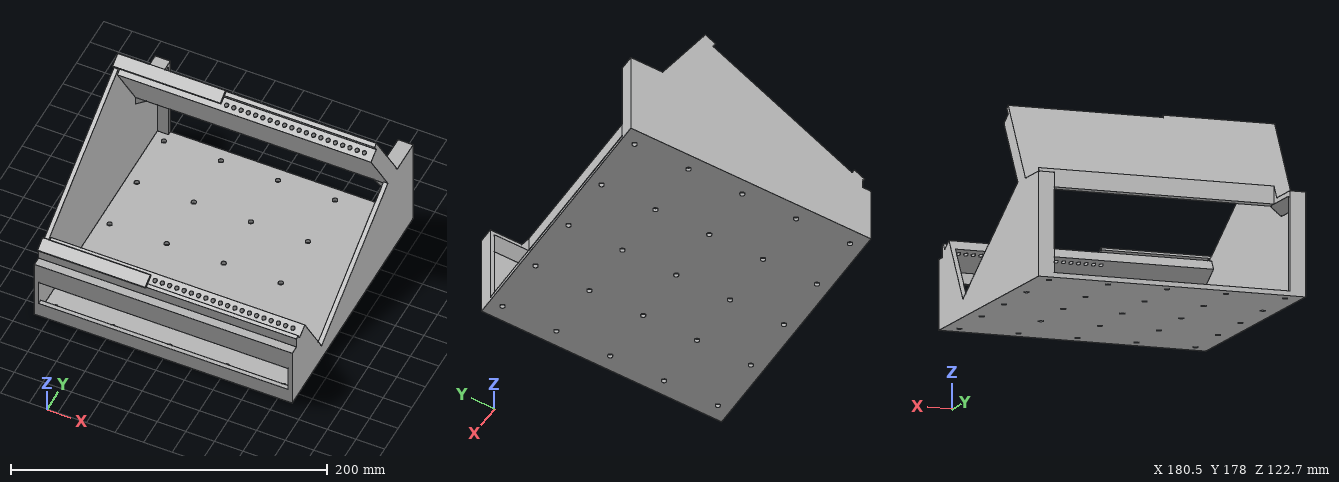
import cadquery as cq
import math


width = 180.5
depth = 178.0
height = 122.7
wall = 3.0
floor_thickness = wall
front_height = 45.8
front_ledge = 6.1
rear_height = 67.9

tilt = math.radians(30)
ridge_y = 122.7
frame_length = 136.5
rail_width = 12.0
front_rail_thickness = 7.0
lip_width = 3.0
lip_height = 2.0
groove_depth = 2.9

cover_length = 75.5
cover_width = 8.8
cover_thickness = 2.0
frame_top = lip_height + cover_thickness

rail_hole_diameter = 2.7
rail_hole_depth = front_rail_thickness
rail_hole_count = 20
rail_hole_row_length = 96.4
rail_hole_pitch = rail_hole_row_length / (rail_hole_count - 1)
first_rail_hole_x = 77.6

front_window_bottom = 11.4
front_window_top = 30.5
rear_opening_margin = 10.6
rear_opening_depth = 28.5
side_opening_depth = 52.3

gusset_height = 6.1

floor_hole_diameter = 3.2
floor_hole_pitch = 39.9
floor_hole_count = 5

clearance = 36.1


def frame_point(along, above):
    """(Y, Z) of a point: along the slope from its rear end, above the left wall's sloped edge."""
    rise = above - frame_top
    y = ridge_y - along * math.cos(tilt) - rise * math.sin(tilt)
    z = height - along * math.sin(tilt) + rise * math.cos(tilt)
    return y, z


def prism(outline, x_start, x_end):
    """Solid with a (Y, Z) outline, from x_start to x_end."""
    return cq.Workplane("YZ", origin=(x_start, 0, 0)).polyline(outline).close().extrude(x_end - x_start)


def frame_block(along_start, along_end, above_start, above_end, x_start, x_end):
    """Block aligned with the slope."""
    outline = [
        frame_point(along_start, above_start),
        frame_point(along_end, above_start),
        frame_point(along_end, above_end),
        frame_point(along_start, above_end),
    ]
    return prism(outline, x_start, x_end)


def box(x_start, x_end, y_start, y_end, z_start, z_end):
    size = (x_end - x_start, y_end - y_start, z_end - z_start)
    return cq.Workplane().box(*size, centered=False).translate((x_start, y_start, z_start))


def on_rear_face(z):
    """Y of the sloped rear face at height z."""
    return ridge_y + (height - z) * math.tan(tilt)


def on_rear_rail_front(z):
    """Y of the rear rail's front face, parallel to the sloped rear face, at height z."""
    return on_rear_face(z) - rail_width / math.cos(tilt)


def make_body():
    lip_rear_y, lip_rear_z = frame_point(0, lip_height)
    lip_front_z = lip_rear_z - (lip_rear_y - front_ledge) * math.tan(tilt)
    outline = [
        (0, 0),
        (0, front_height),
        (front_ledge, front_height),
        (front_ledge, lip_front_z),
        (lip_rear_y, lip_rear_z),
        (on_rear_face(rear_height), rear_height),
        (depth, rear_height),
        (depth, 0),
    ]
    return prism(outline, 0, width)


def make_cavity():
    """Inside of the case, open upward between the two rails."""
    front_rail_start = frame_length - rail_width
    rail_bottom = -groove_depth - front_rail_thickness
    rail_bottom_y, rail_bottom_z = frame_point(front_rail_start, rail_bottom)
    ceiling_front_z = rail_bottom_z - (rail_bottom_y - wall) * math.tan(tilt)
    ceiling_rear_z = rear_height - wall
    outline = [
        (wall, floor_thickness),
        (wall, ceiling_front_z),
        (rail_bottom_y, rail_bottom_z),
        frame_point(front_rail_start, clearance),
        frame_point(rail_width, clearance),
        (on_rear_rail_front(ceiling_rear_z), ceiling_rear_z),
        (depth - wall, ceiling_rear_z),
        (depth - wall, floor_thickness),
    ]
    return prism(outline, wall, width - wall)


def make_slope_recess():
    """Space under the covers and between them, down to the left wall's edge and to the rails."""
    above_wall = frame_block(cover_width, frame_length - cover_width, 0, clearance, 0, width)
    groove = frame_block(lip_width, frame_length - lip_width, -groove_depth, clearance, wall, width)
    return above_wall.union(groove)


def make_side_opening():
    """Opening in the right wall, between the rails."""
    return frame_block(
        rail_width, frame_length - rail_width, -side_opening_depth, clearance, width - wall, width
    )


def make_front_window():
    return box(wall, width - wall, 0, wall, front_window_bottom, front_window_top)


def make_rear_opening():
    """Opening through the rear wall and the rear ceiling, down to the floor."""
    return box(
        rear_opening_margin, width - rear_opening_margin,
        depth - rear_opening_depth, depth,
        floor_thickness, height,
    )


def make_gussets():
    """Triangular strips between the side walls and the rear ceiling."""
    top = rear_height - wall
    y_start = on_rear_rail_front(top)
    left = (
        cq.Workplane("XZ", origin=(0, y_start, 0))
        .polyline([(wall, top), (rear_opening_margin, top), (wall, top - gusset_height)])
        .close()
        .extrude(y_start - depth + wall)
    )
    return left.union(left.mirror("YZ", (width / 2, 0, 0)))


def make_covers():
    """Plates on top of the lips, carried by the left wall at their outer end."""
    rear = frame_block(0, cover_width, lip_height, frame_top, 0, cover_length)
    front_start = frame_length - cover_width
    front = frame_block(front_start, frame_length, lip_height, frame_top, 0, cover_length)
    return rear.union(front)


def make_rail_holes():
    from_outer_edge = (lip_width + rail_width) / 2
    axis = cq.Vector(0, math.sin(tilt), -math.cos(tilt))
    holes = []
    for along in (from_outer_edge, frame_length - from_outer_edge):
        y, z = frame_point(along, -groove_depth)
        for i in range(rail_hole_count):
            start = cq.Vector(first_rail_hole_x + i * rail_hole_pitch, y, z)
            holes.append(cq.Solid.makeCylinder(rail_hole_diameter / 2, rail_hole_depth, start, axis))
    return cq.Workplane(cq.Compound.makeCompound(holes))


def make_floor_holes():
    return (
        cq.Workplane(origin=(width / 2, depth / 2, 0))
        .rarray(floor_hole_pitch, floor_hole_pitch, floor_hole_count, floor_hole_count)
        .circle(floor_hole_diameter / 2)
        .extrude(floor_thickness)
    )


result = (
    make_body()
    .cut(make_cavity())
    .cut(make_slope_recess())
    .cut(make_side_opening())
    .cut(make_front_window())
    .cut(make_rear_opening())
    .union(make_gussets())
    .union(make_covers())
    .cut(make_rail_holes())
    .cut(make_floor_holes())
)